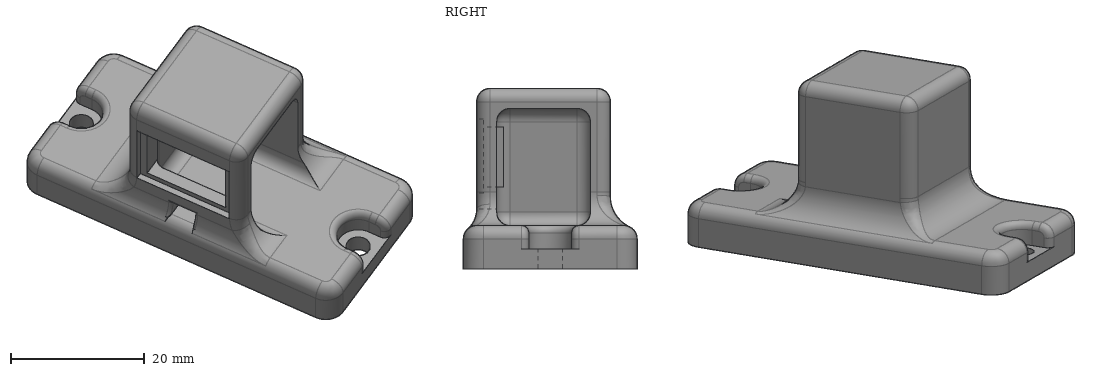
import cadquery as cq
import math

BASE_LENGTH = 54.0
BASE_WIDTH = 26.0
BASE_HEIGHT = 6.5
BASE_CORNER_RADIUS = 3.0
EDGE_RADIUS = 2.0

TOWER_SIZE = 20.0
TOWER_TOP = 27.0
TOWER_CENTER_Y = -1.0
WALL = 3.0
FLARE_RADIUS = 5.0
FRONT_FLARE_RADIUS = 4.0

WINDOW_LENGTH = 13.5
WINDOW_HEIGHT = 9.0
WINDOW_CENTER_Z = 16.75
RECESS_LENGTH = 15.9
RECESS_HEIGHT = 11.0
RECESS_CENTER_Z = 16.9
RECESS_DEPTH = 1.0

NOTCH_WIDTH = 4.0
NOTCH_HEIGHT = 2.5
NOTCH_EDGE_RADIUS = 0.5

SCREW_X = 23.85
SCREW_HOLE_DIAMETER = 3.6
POCKET_RADIUS = 3.2
POCKET_FLOOR = 3.0
POCKET_EDGE_RADIUS = 1.1

TOWER_HALF = TOWER_SIZE / 2
TOWER_FRONT = TOWER_CENTER_Y - TOWER_HALF
TOWER_BACK = TOWER_CENTER_Y + TOWER_HALF
CAVITY_FRONT = TOWER_FRONT + WALL
CAVITY_BACK = TOWER_BACK - WALL
FLARE_END_X = TOWER_HALF + FLARE_RADIUS
FLARE_TOP = BASE_HEIGHT + FLARE_RADIUS

ROUND_Y = BASE_WIDTH / 2 - EDGE_RADIUS
ROUND_Z = BASE_HEIGHT - EDGE_RADIUS
TOWER_BOTTOM = ROUND_Z

SMALL = 0.01


def box_between(x_range, y_range, z_range):
    """Axis-aligned box spanning the given ranges."""
    lengths = [high - low for low, high in (x_range, y_range, z_range)]
    corner = (x_range[0], y_range[0], z_range[0])
    return cq.Workplane("XY").box(*lengths, centered=False).translate(corner)


def make_base():
    plate = cq.Workplane("XY").box(BASE_LENGTH, BASE_WIDTH, BASE_HEIGHT, centered=(True, True, False))
    plate = plate.edges("|Z").fillet(BASE_CORNER_RADIUS)
    return plate.faces(">Z").edges().fillet(EDGE_RADIUS)


def end_profile():
    """Tower outline in XZ: both walls sweep out tangentially onto the base top."""
    arc_middle_x = FLARE_END_X - FLARE_RADIUS * math.sqrt(0.5)
    arc_middle_z = FLARE_TOP - FLARE_RADIUS * math.sqrt(0.5)
    return (
        cq.Workplane("XZ")
        .moveTo(-FLARE_END_X, TOWER_BOTTOM)
        .lineTo(-FLARE_END_X, BASE_HEIGHT)
        .threePointArc((-arc_middle_x, arc_middle_z), (-TOWER_HALF, FLARE_TOP))
        .lineTo(-TOWER_HALF, TOWER_TOP)
        .lineTo(TOWER_HALF, TOWER_TOP)
        .lineTo(TOWER_HALF, FLARE_TOP)
        .threePointArc((arc_middle_x, arc_middle_z), (FLARE_END_X, BASE_HEIGHT))
        .lineTo(FLARE_END_X, TOWER_BOTTOM)
        .close()
    )


def wall_flare(wall_distance, radius):
    """Arc from the base toe up to a long wall, as (toe, middle, top) points in YZ.

    The wall stands at Y = wall_distance; the arc is tangent to it and to the rounded base edge.
    """
    center_y = wall_distance + radius
    center_z = ROUND_Z + math.sqrt((radius + EDGE_RADIUS) ** 2 - (center_y - ROUND_Y) ** 2)
    toe_angle = math.atan2(ROUND_Z - center_z, ROUND_Y - center_y)
    middle_angle = (toe_angle - math.pi) / 2

    def arc_point(angle):
        return (center_y + radius * math.cos(angle), center_z + radius * math.sin(angle))

    return arc_point(toe_angle), arc_point(middle_angle), (wall_distance, center_z)


def mirror_y(point):
    return (-point[0], point[1])


def side_profile():
    """Tower outline in YZ: front and back walls sweep out onto the rounded base edges."""
    back_toe, back_middle, back_top = wall_flare(TOWER_BACK, FLARE_RADIUS)
    front_toe, front_middle, front_top = map(mirror_y, wall_flare(-TOWER_FRONT, FRONT_FLARE_RADIUS))
    return (
        cq.Workplane("YZ")
        .moveTo(back_toe[0], TOWER_BOTTOM)
        .lineTo(*back_toe)
        .threePointArc(back_middle, back_top)
        .lineTo(TOWER_BACK, TOWER_TOP)
        .lineTo(TOWER_FRONT, TOWER_TOP)
        .lineTo(*front_top)
        .threePointArc(front_middle, front_toe)
        .lineTo(front_toe[0], TOWER_BOTTOM)
        .close()
    )


def is_corner_edge(edge):
    """True for the four wall corners and for the curved edges that carry them down the flares."""
    box = edge.BoundingBox()
    above_base = box.zmax > BASE_HEIGHT + SMALL
    rises = box.zlen > SMALL
    at_one_end = box.xlen < TOWER_SIZE / 2
    at_one_side = box.ylen < TOWER_SIZE / 2
    return above_base and rises and at_one_end and at_one_side


def make_tower():
    end_prism = end_profile().extrude(BASE_WIDTH, both=True)
    side_prism = side_profile().extrude(BASE_LENGTH, both=True)
    tower = end_prism.intersect(side_prism)
    corners = [edge for edge in tower.edges().vals() if is_corner_edge(edge)]
    tower = tower.newObject(corners).fillet(EDGE_RADIUS)
    return tower.faces(">Z").edges().fillet(EDGE_RADIUS)


def make_cavity():
    """Interior of the tower, carried out through the +X wall and its flare."""
    cavity = box_between(
        (-TOWER_HALF + WALL, FLARE_END_X),
        (CAVITY_FRONT, CAVITY_BACK),
        (BASE_HEIGHT, TOWER_TOP - WALL),
    )
    return cavity.edges("not >X").fillet(EDGE_RADIUS)


def make_window():
    opening = box_between(
        (-WINDOW_LENGTH / 2, WINDOW_LENGTH / 2),
        (TOWER_FRONT, CAVITY_FRONT + EDGE_RADIUS),
        (WINDOW_CENTER_Z - WINDOW_HEIGHT / 2, WINDOW_CENTER_Z + WINDOW_HEIGHT / 2),
    )
    recess = box_between(
        (-RECESS_LENGTH / 2, RECESS_LENGTH / 2),
        (TOWER_FRONT, TOWER_FRONT + RECESS_DEPTH),
        (RECESS_CENTER_Z - RECESS_HEIGHT / 2, RECESS_CENTER_Z + RECESS_HEIGHT / 2),
    )
    return opening.union(recess)


def is_notch_rim(edge):
    """True for the outer edges of the notch, along its two sides and its top."""
    box = edge.BoundingBox()
    inside_width = max(abs(box.xmin), abs(box.xmax)) < NOTCH_WIDTH / 2 + SMALL
    inside_height = BASE_HEIGHT + SMALL < box.zmax < BASE_HEIGHT + NOTCH_HEIGHT + SMALL
    return inside_width and inside_height and box.ymax < TOWER_FRONT + SMALL


def cut_notch(body, base):
    """Cut the cable notch, round its outer rim and clear the flare toe in front of it."""
    half_width = NOTCH_WIDTH / 2
    notch = box_between(
        (-half_width, half_width),
        (-BASE_WIDTH / 2, CAVITY_FRONT + EDGE_RADIUS),
        (BASE_HEIGHT, BASE_HEIGHT + NOTCH_HEIGHT),
    )
    body = body.cut(notch)
    rim = [edge for edge in body.edges().vals() if is_notch_rim(edge)]
    body = body.newObject(rim).fillet(NOTCH_EDGE_RADIUS)

    toe_half_width = half_width + NOTCH_EDGE_RADIUS
    toe_y = -BASE_WIDTH / 2
    toe = (
        cq.Workplane("XY", origin=(0, 0, ROUND_Z))
        .polyline([
            (-half_width, TOWER_FRONT),
            (half_width, TOWER_FRONT),
            (toe_half_width, toe_y),
            (-toe_half_width, toe_y),
        ])
        .close()
        .extrude(EDGE_RADIUS)
    )
    return body.cut(toe.cut(base))


def cut_screw_pocket(body, side):
    """Cut one U-shaped pocket and its screw hole; side is -1 for the -X end and 1 for the +X end."""
    center_x = side * SCREW_X
    round_end = cq.Workplane("XY", origin=(center_x, 0, POCKET_FLOOR))
    round_end = round_end.circle(POCKET_RADIUS).extrude(BASE_HEIGHT)
    mouth = box_between(
        sorted((center_x, side * BASE_LENGTH)),
        (-POCKET_RADIUS, POCKET_RADIUS),
        (POCKET_FLOOR, POCKET_FLOOR + BASE_HEIGHT),
    )
    hole = cq.Workplane("XY", origin=(center_x, 0, 0))
    hole = hole.circle(SCREW_HOLE_DIAMETER / 2).extrude(BASE_HEIGHT)
    body = body.cut(round_end.union(mouth))
    rim = cq.selectors.NearestToPointSelector((center_x - side * POCKET_RADIUS, 0, BASE_HEIGHT))
    return body.edges(rim).fillet(POCKET_EDGE_RADIUS).cut(hole)


base = make_base()
result = cut_notch(base.union(make_tower()), base)
result = result.cut(make_cavity()).cut(make_window())
for end in (-1, 1):
    result = cut_screw_pocket(result, end)